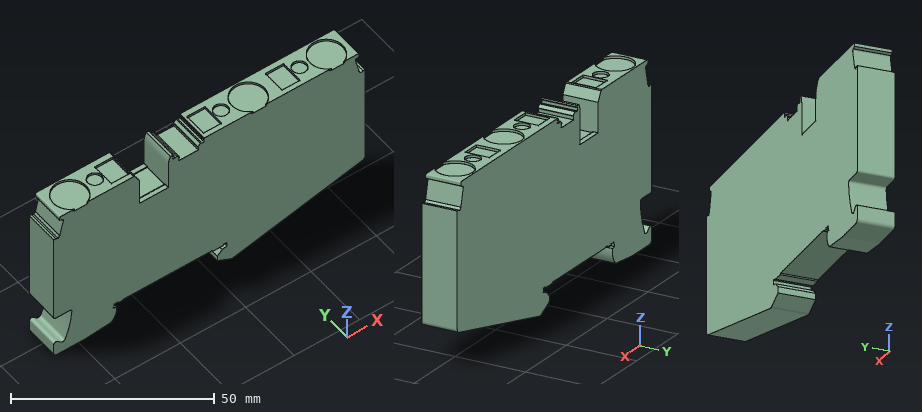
import cadquery as cq

LENGTH = 95.3
WIDTH = 10.1
HEIGHT = 49.6

FOOT_MOUTH_TOP = 13.5
FOOT_MOUTH_X = 5.5
MOUTH_EDGE_ROUND = 0.6
MOUTH_CORNER_ROUND = 0.7
FOOT_HEEL_ROUND = 1.05
RAIL_SEAT_Z = 6.9
SEAT_PAD_DROP = 0.3
NOSE_X = 54.5
SLOPE_END_Z = 10.0
NOSE_ROUND = 1.4
SLOPE_END_ROUND = 1.2

LIP_INSET = 1.8
LIP_HEIGHT = 1.1
LIP_ROUND = 0.5
NOTCH_NECK_X = 3.0
NOTCH_NECK_DEPTH = 1.5
NOTCH_NECK_ROUND = 0.4
NOTCH_WALL_DEPTH = 6.8
NOTCH_SHELF_DEPTH = 7.1
NOTCH_GROOVE_DEPTH = 7.4
NOTCH_GROOVE_X = 1.3

SLOT_LEFT = 26.3
SLOT_RIGHT = 35.1
SLOT_DEPTH = 10.9
SLOT_LEAD_DEPTH = 2.8
SLOT_LEAD_LEFT = 1.4
SLOT_LEAD_RIGHT = 0.7
SLOT_LEAD_BULGE_X = 0.2
SLOT_LEAD_BULGE_DEPTH = 1.1
SLOT_EDGE_EASE = 0.4
FLOOR_RECESS_Y = 1.4
FLOOR_RECESS_WIDTH = 7.2
FLOOR_RECESS_DEPTH = 0.3

MARKER_X = 41.3
MARKER_TOP_HALF = 4.8
MARKER_CREST_HALF = 3.6
MARKER_FLOOR_HALF = 3.0
MARKER_DEPTH = 3.1
MARKER_LIP = 0.3
MARKER_LEDGE_DEPTH = 1.4
MARKER_CREST_RUN = 0.5
MARKER_CREST_RISE = 0.3
MARKER_TIP_DEPTH = 2.0
MARKER_TIP = 0.2

MARK_DEPTH = 0.7
LARGE_CIRCLE_RADIUS = 5.0
LARGE_CIRCLE_Y = 4.6
LARGE_CIRCLE_XS = (8.3, 62.9, 86.8)
SMALL_CIRCLE_DIAMETER = 4.2
SMALL_CIRCLE_XS = (16.3, 54.9, 78.9)
WINDOW_LENGTH = 5.5
WINDOW_WIDTH = 6.9
WINDOW_Y = 4.9
WINDOW_XS = (21.4, 49.65, 73.7)


def side_sketch():
    """Workplane for outlines drawn as (x, z) points."""
    return cq.Workplane("XZ")


def through_width(outline):
    """Solid running from y = 0 to the full width."""
    return outline.close().extrude(-WIDTH)


def round_edge(solid, x, z, radius):
    """Round the widthwise edge nearest to (x, z)."""
    edge = cq.selectors.NearestToPointSelector((x, WIDTH / 2, z))
    return solid.edges("|Y").edges(edge).fillet(radius)


def plate():
    """Plate with a straight top, the clip foot, the rail seat and the sloped nose."""
    pad_z = RAIL_SEAT_Z - SEAT_PAD_DROP
    outline = (
        side_sketch()
        .moveTo(0, HEIGHT)
        .lineTo(0, FOOT_MOUTH_TOP)
        .lineTo(FOOT_MOUTH_X, FOOT_MOUTH_TOP)
        .lineTo(FOOT_MOUTH_X, 12.6)
        .threePointArc((5.0, 8.7), (3.6, 4.4))
        .threePointArc((2.9, 3.6), (2.0, 3.9))
        .lineTo(1.2, 4.7)
        .threePointArc((0.7, 4.9), (0, 4.3))
        .lineTo(0, 0)
        .lineTo(9.5, 0)
        .lineTo(17.6, 0.9)
        .threePointArc((18.8, 2.4), (19.25, 4.4))
        .lineTo(19.25, 5.4)
        .lineTo(18.3, 5.6)
        .lineTo(18.5, RAIL_SEAT_Z)
        .lineTo(19.6, RAIL_SEAT_Z)
        .lineTo(19.9, pad_z)
        .lineTo(21.2, pad_z)
        .lineTo(21.4, RAIL_SEAT_Z)
        .lineTo(48.4, RAIL_SEAT_Z)
        .lineTo(48.7, pad_z)
        .lineTo(51.75, pad_z)
        .lineTo(52.0, RAIL_SEAT_Z)
        .lineTo(53.0, RAIL_SEAT_Z)
        .lineTo(53.0, 5.7)
        .lineTo(51.6, 5.3)
        .lineTo(50.0, 3.9)
        .lineTo(50.0, 2.2)
        .lineTo(NOSE_X, 0)
        .lineTo(LENGTH, SLOPE_END_Z)
        .lineTo(LENGTH, HEIGHT)
    )
    body = through_width(outline)
    body = round_edge(body, 0, 0, FOOT_HEEL_ROUND)
    body = round_edge(body, 0, FOOT_MOUTH_TOP, MOUTH_EDGE_ROUND)
    body = round_edge(body, FOOT_MOUTH_X, FOOT_MOUTH_TOP, MOUTH_CORNER_ROUND)
    body = round_edge(body, NOSE_X, 0, NOSE_ROUND)
    return round_edge(body, LENGTH, SLOPE_END_Z, SLOPE_END_ROUND)


def end_notch():
    """Undercut at the left end: leaves a thin lip above and a grooved shelf below."""
    outline = (
        side_sketch()
        .moveTo(0, HEIGHT)
        .lineTo(LIP_INSET + LIP_ROUND, HEIGHT)
        .radiusArc((LIP_INSET, HEIGHT - LIP_ROUND), -LIP_ROUND)
        .lineTo(LIP_INSET, HEIGHT - LIP_HEIGHT)
        .lineTo(NOTCH_NECK_X - NOTCH_NECK_ROUND, HEIGHT - NOTCH_NECK_DEPTH)
        .radiusArc((NOTCH_NECK_X, HEIGHT - NOTCH_NECK_DEPTH - NOTCH_NECK_ROUND), NOTCH_NECK_ROUND)
        .lineTo(LIP_INSET, HEIGHT - NOTCH_WALL_DEPTH)
        .lineTo(NOTCH_GROOVE_X, HEIGHT - NOTCH_GROOVE_DEPTH)
        .lineTo(NOTCH_GROOVE_X / 2, HEIGHT - NOTCH_SHELF_DEPTH)
        .lineTo(0, HEIGHT - NOTCH_SHELF_DEPTH)
    )
    return through_width(outline)


def slot():
    """Deep slot with a lead-in on each side and a recess along the floor."""
    floor_z = HEIGHT - SLOT_DEPTH
    lead_z = HEIGHT - SLOT_LEAD_DEPTH
    outline = (
        side_sketch()
        .moveTo(SLOT_LEFT - SLOT_LEAD_LEFT - SLOT_EDGE_EASE, HEIGHT)
        .lineTo(SLOT_LEFT - SLOT_LEAD_LEFT, HEIGHT - SLOT_EDGE_EASE / 2)
        .lineTo(SLOT_LEFT, lead_z)
        .lineTo(SLOT_LEFT, floor_z)
        .lineTo(SLOT_RIGHT, floor_z)
        .lineTo(SLOT_RIGHT, lead_z)
        .threePointArc(
            (SLOT_RIGHT + SLOT_LEAD_BULGE_X, HEIGHT - SLOT_LEAD_BULGE_DEPTH),
            (SLOT_RIGHT + SLOT_LEAD_RIGHT, HEIGHT),
        )
    )
    recess = cq.Workplane().box(
        SLOT_RIGHT - SLOT_LEFT, FLOOR_RECESS_WIDTH, FLOOR_RECESS_DEPTH, centered=False
    )
    recess = recess.translate((SLOT_LEFT, FLOOR_RECESS_Y, floor_z - FLOOR_RECESS_DEPTH))
    return through_width(outline).union(recess)


def marker_groove():
    """Stepped groove; the right half outline is mirrored to make the left half."""
    edge_x = MARKER_X + MARKER_TOP_HALF
    crest_x = MARKER_X + MARKER_CREST_HALF
    wall_x = MARKER_X + MARKER_FLOOR_HALF
    ledge_z = HEIGHT - MARKER_LEDGE_DEPTH
    tip_z = HEIGHT - MARKER_TIP_DEPTH
    outline = (
        side_sketch()
        .moveTo(MARKER_X, HEIGHT)
        .lineTo(edge_x, HEIGHT)
        .lineTo(edge_x - MARKER_LIP, HEIGHT - MARKER_LIP)
        .lineTo(edge_x, HEIGHT - 2 * MARKER_LIP)
        .lineTo(edge_x, ledge_z)
        .lineTo(crest_x + MARKER_CREST_RUN, ledge_z)
        .lineTo(crest_x, ledge_z + MARKER_CREST_RISE)
        .lineTo(wall_x - MARKER_TIP, tip_z)
        .lineTo(wall_x, tip_z - MARKER_TIP)
        .lineTo(wall_x, HEIGHT - MARKER_DEPTH)
        .lineTo(MARKER_X, HEIGHT - MARKER_DEPTH)
    )
    half = through_width(outline)
    return half.union(half.mirror("YZ", (MARKER_X, 0, 0)))


def top_marks():
    """Circles and rectangles sunk into the top; the large circles break out at y = 0."""
    top = cq.Workplane(origin=(0, 0, HEIGHT))
    large = top.pushPoints([(x, LARGE_CIRCLE_Y) for x in LARGE_CIRCLE_XS])
    small = top.pushPoints([(x, WIDTH / 2) for x in SMALL_CIRCLE_XS])
    windows = top.pushPoints([(x, WINDOW_Y) for x in WINDOW_XS])
    return (
        large.circle(LARGE_CIRCLE_RADIUS).extrude(-MARK_DEPTH)
        .union(small.circle(SMALL_CIRCLE_DIAMETER / 2).extrude(-MARK_DEPTH))
        .union(windows.rect(WINDOW_LENGTH, WINDOW_WIDTH).extrude(-MARK_DEPTH))
    )


left_notch = end_notch()
right_notch = left_notch.mirror("YZ", (LENGTH / 2, 0, 0))

result = (
    plate()
    .cut(left_notch)
    .cut(right_notch)
    .cut(slot())
    .cut(marker_groove())
    .cut(top_marks())
)